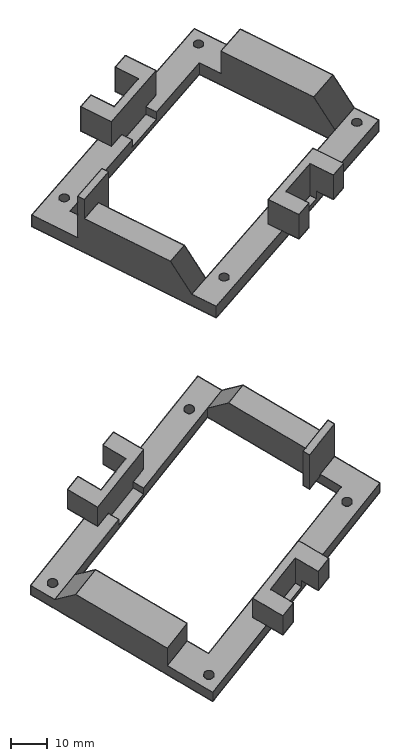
import cadquery as cq

frame_width = 60.05
frame_length = 80.5
frame_height = 4.8
side_rail = 8.0
north_rail = 9.6
south_rail = 6.9
left_edge = -frame_width / 2
right_edge = frame_width / 2

block_start = left_edge + 15.0
block_top_end = left_edge + 45.2
block_slope_end = right_edge - side_rail
block_top = 14.1

fin_thickness = 2.2
fin_length = 12.0
fin_bottom = 3.9
fin_top = 22.0

overall_width = 71.0
clip_depth = 10.0
clip_south = 32.6
clip_arm = 5.1
clip_web = 2.4
clip_top = 15.0
notch_width = 12.0
notch_floor = 1.8
clip_length = notch_width + 2 * clip_arm
notch_south = clip_south + clip_arm

hole_diameter = 2.8
hole_inset = 4.0
north_right_hole_inset = 4.5
south_hole_offset = 10.0
north_hole_y = frame_length - hole_inset
hole_centres = [
    (left_edge + hole_inset, south_hole_offset),
    (right_edge - hole_inset, south_hole_offset),
    (left_edge + hole_inset, north_hole_y),
    (right_edge - north_right_hole_inset, north_hole_y),
]


def box(x_min, x_max, y_min, y_max, z_min, z_max):
    """Box between two opposite corners."""
    size = (x_max - x_min, y_max - y_min, z_max - z_min)
    return cq.Workplane("XY").box(*size, centered=False).translate((x_min, y_min, z_min))


def frame():
    """Rectangular frame with a notch across each side rail."""
    body = box(left_edge, right_edge, 0, frame_length, 0, frame_height)
    window = box(
        left_edge + side_rail, right_edge - side_rail,
        south_rail, frame_length - north_rail,
        0, frame_height,
    )
    notches = box(
        left_edge, right_edge,
        notch_south, notch_south + notch_width,
        notch_floor, frame_height,
    )
    return body.cut(window).cut(notches)


def end_block(y_min, y_max):
    """Block with a sloping right end, standing on an end rail."""
    return (
        cq.Workplane("XZ", origin=(0, y_min, 0))
        .moveTo(block_start, 0)
        .lineTo(block_start, block_top)
        .lineTo(block_top_end, block_top)
        .lineTo(block_slope_end, frame_height)
        .lineTo(block_slope_end, 0)
        .close()
        .extrude(y_min - y_max)
    )


def left_clip():
    """C-shaped clip opening outward, its web reaching down to the notch floor."""
    outer = -overall_width / 2
    inner = outer + clip_depth
    web_outer = inner - clip_web
    notch_north = notch_south + notch_width
    body = box(outer, inner, clip_south, clip_south + clip_length, frame_height, clip_top)
    slot = box(outer, web_outer, notch_south, notch_north, frame_height, clip_top)
    web_foot = box(web_outer, inner, notch_south, notch_north, notch_floor, frame_height)
    return body.cut(slot).union(web_foot)


fin = box(block_start, block_start + fin_thickness, 0, fin_length, fin_bottom, fin_top)
clip = left_clip()
holes = (
    cq.Workplane("XY")
    .pushPoints(hole_centres)
    .circle(hole_diameter / 2)
    .extrude(frame_height)
)

result = (
    frame()
    .union(end_block(0, south_rail))
    .union(end_block(frame_length - north_rail, frame_length))
    .union(fin)
    .union(clip)
    .union(clip.mirror("YZ"))
    .cut(holes)
)